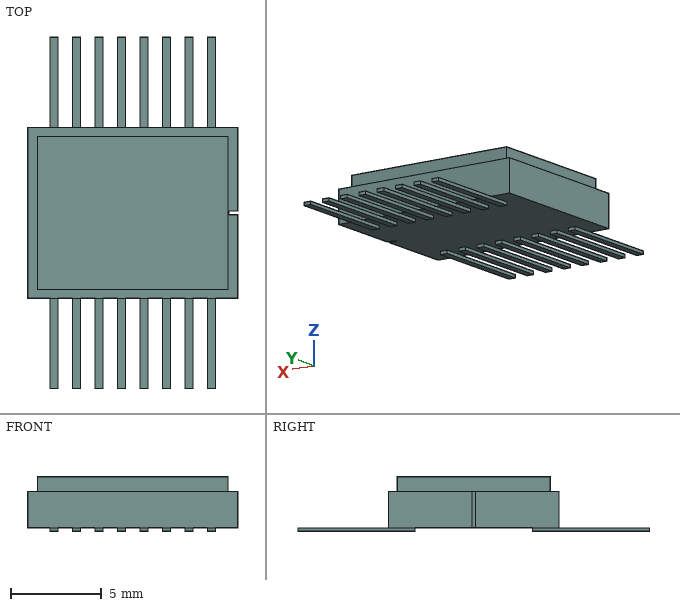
import cadquery as cq

total_span = 19.4
total_height = 3.03

body_length = 11.6
body_width = 9.43
body_height = 2.02

leads_per_side = 8
lead_pitch = 1.25
lead_width = 0.45
lead_length = 6.46
lead_thickness = 0.2

lid_length = 10.53
lid_width = 8.45
lid_height = total_height - lead_thickness - body_height

notch_depth = 0.48
notch_width = 0.2


def block(length, width, height, bottom):
    """Rectangular block centred on X and Y, standing on Z = bottom."""
    return cq.Workplane("XY", origin=(0, 0, bottom)).box(length, width, height, centered=(True, True, False))


def make_body():
    body = block(body_length, body_width, body_height, lead_thickness)
    notch = block(notch_depth, notch_width, body_height, lead_thickness)
    return body.cut(notch.translate(((body_length - notch_depth) / 2, 0, 0)))


def make_lid():
    return block(lid_length, lid_width, lid_height, lead_thickness + body_height)


def make_leads():
    row_spacing = total_span - lead_length
    return (
        cq.Workplane("XY")
        .rarray(lead_pitch, row_spacing, leads_per_side, 2)
        .rect(lead_width, lead_length)
        .extrude(lead_thickness)
    )


result = make_body().union(make_lid()).union(make_leads())